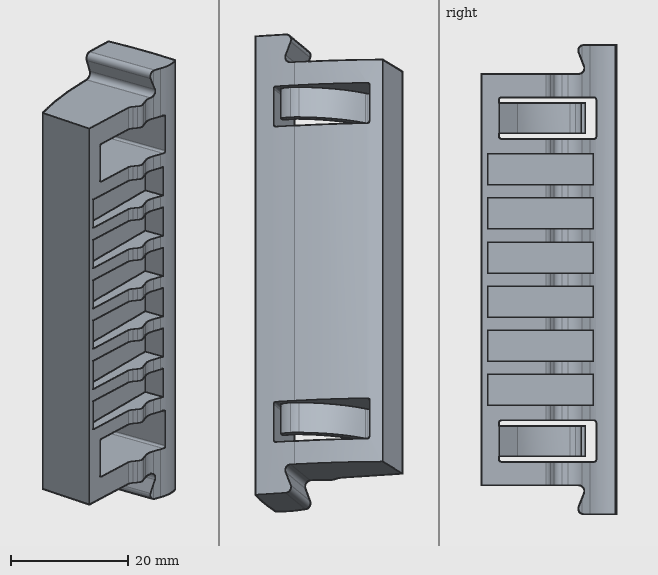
import cadquery as cq
import math

LENGTH = 80.0
BODY_LENGTH = 70.2
BACK_CROWN = 0.2
FRONT_Y = -23.1

WIDEST_Y = -7.1
BACK_LEFT_X = 0.2
FRONT_LEFT = (1.8, -22.2)

BACK_RIGHT_X = 14.1
RIM_MIDDLE = (14.4, -2.7)
RIM_BOTTOM = (13.9, -4.6)
VALLEY_TOP = (13.4, -6.0)
VALLEY_MIDDLE = (13.2, -7.2)
VALLEY_BOTTOM = (13.4, -8.4)
BUMP_TOP = (13.8, -9.4)
BUMP_MIDDLE = (13.8, -10.2)
BUMP_BOTTOM = (13.4, -10.8)
FLANK_BEND_TOP = (13.0, -11.4)
FLANK_BEND_MIDDLE = (12.7, -11.7)
FLANK_BEND_BOTTOM = (12.6, -12.2)
FRONT_RIGHT_X = 12.1

HOOK_TIP_Y = -7.0
HOOK_ROOT_Y = -5.1
HOOK_RADIUS = 1.0

WINDOW_HEIGHT = 7.0
WINDOW_CENTRE_Z = 27.5
WINDOW_BACK_Y = -3.5
WINDOW_FRONT_Y = -20.1
WINDOW_RADIUS = 0.4

CLIP_WIDTH = 5.2
CLIP_THICKNESS = 1.6
CLIP_LEFT_X = -2.6
CLIP_TIP_Y = -5.4
CLIP_TIP_RADIUS = 4.0
CLIP_BEND_RADIUS = 4.8
CLIP_BEND_ANGLE = 17.0
CLIP_ARM_RADIUS = 17.6
CLIP_ARM_ANGLE = 58.0
CLIP_ROOT_FILLET = 0.8
CLIP_EMBED = 0.8

POCKET_COUNT = 6
POCKET_PITCH = 7.5
POCKET_HEIGHT = 5.3
POCKET_FLOOR_X = 10.4
POCKET_BACK_Y = -4.0
POCKET_FRONT_Y = -22.0

BEYOND = 24.0


def extrude_centred(sketch, height):
    """Extrude a closed outline equally to both sides of its plane."""
    return sketch.extrude(height / 2, both=True)


def wall_radius(inset, run):
    """Radius of an arc that leaves the Y direction and drifts by inset over run."""
    return (run**2 + inset**2) / (2 * inset)


def make_profile():
    """Cross-section of the body, extruded over the full length."""
    left_radius_front = wall_radius(FRONT_LEFT[0], WIDEST_Y - FRONT_LEFT[1])
    left_radius_back = wall_radius(BACK_LEFT_X, -BACK_CROWN - WIDEST_Y)
    outline = (
        cq.Workplane("XY")
        .moveTo(BACK_LEFT_X, -BACK_CROWN)
        .threePointArc(((BACK_LEFT_X + BACK_RIGHT_X) / 2, 0), (BACK_RIGHT_X, -BACK_CROWN))
        .threePointArc(RIM_MIDDLE, RIM_BOTTOM)
        .lineTo(*VALLEY_TOP)
        .threePointArc(VALLEY_MIDDLE, VALLEY_BOTTOM)
        .lineTo(*BUMP_TOP)
        .threePointArc(BUMP_MIDDLE, BUMP_BOTTOM)
        .lineTo(*FLANK_BEND_TOP)
        .threePointArc(FLANK_BEND_MIDDLE, FLANK_BEND_BOTTOM)
        .lineTo(FRONT_RIGHT_X, FRONT_Y)
        .lineTo(*FRONT_LEFT)
        .radiusArc((0, WIDEST_Y), left_radius_front)
        .radiusArc((BACK_LEFT_X, -BACK_CROWN), left_radius_back)
        .close()
    )
    return extrude_centred(outline, LENGTH)


def make_side_block():
    """Block with the YZ outline: front body with a hooked flange at each end."""
    upper_half = [
        (BEYOND, LENGTH / 2),
        (HOOK_TIP_Y, LENGTH / 2),
        (HOOK_ROOT_Y, BODY_LENGTH / 2),
        (FRONT_Y - BEYOND, BODY_LENGTH / 2),
    ]
    lower_half = [(y, -z) for y, z in reversed(upper_half)]
    outline = cq.Workplane("YZ").polyline(upper_half + lower_half).close()
    block = extrude_centred(outline, 2 * BEYOND)
    hook_corners = cq.selectors.BoxSelector(
        (-BEYOND, HOOK_TIP_Y - HOOK_RADIUS, -LENGTH),
        (BEYOND, HOOK_ROOT_Y + HOOK_RADIUS, LENGTH),
    )
    return block.edges("|X").edges(hook_corners).fillet(HOOK_RADIUS)


def make_window():
    """Rounded rectangular opening that passes right through the body in X."""
    depth = WINDOW_BACK_Y - WINDOW_FRONT_Y
    window = cq.Workplane("XY").box(2 * BEYOND, depth, WINDOW_HEIGHT)
    window = window.edges("|X").fillet(WINDOW_RADIUS)
    return window.translate((0, (WINDOW_BACK_Y + WINDOW_FRONT_Y) / 2, 0))


def point_on_circle(centre, radius, degrees):
    """Point at an angle measured from -X, turning towards -Y."""
    angle = math.radians(degrees)
    return (centre[0] - radius * math.cos(angle), centre[1] - radius * math.sin(angle))


def point_on_root_wall(start, degrees):
    """Where a straight line at an angle from -Y towards +X meets the window's front wall."""
    run = (start[1] - WINDOW_FRONT_Y) * math.tan(math.radians(degrees))
    return (start[0] + run, WINDOW_FRONT_Y)


def add_clip_arc(outline, centre, radius, start_angle, end_angle):
    """Continue the outline with an arc that begins at start_angle."""
    middle = point_on_circle(centre, radius, (start_angle + end_angle) / 2)
    return outline.threePointArc(middle, point_on_circle(centre, radius, end_angle))


def make_clip():
    """Curved strip: a bent tip, a tight bend, a wide arc, then a straight filleted root."""
    tip_centre = (CLIP_LEFT_X + CLIP_TIP_RADIUS, WIDEST_Y)
    bend_centre = (CLIP_LEFT_X + CLIP_BEND_RADIUS, WIDEST_Y)
    arm_centre = point_on_circle(bend_centre, CLIP_BEND_RADIUS - CLIP_ARM_RADIUS, CLIP_BEND_ANGLE)
    tip_angle = -math.degrees(math.asin((CLIP_TIP_Y - WIDEST_Y) / CLIP_TIP_RADIUS))
    arcs = [
        (tip_centre, CLIP_TIP_RADIUS, tip_angle, 0),
        (bend_centre, CLIP_BEND_RADIUS, 0, CLIP_BEND_ANGLE),
        (arm_centre, CLIP_ARM_RADIUS, CLIP_BEND_ANGLE, CLIP_ARM_ANGLE),
    ]
    inner_arm_radius = CLIP_ARM_RADIUS - CLIP_THICKNESS
    inner_tip = point_on_circle(tip_centre, CLIP_TIP_RADIUS - CLIP_THICKNESS, tip_angle)
    outer_arm_end = point_on_circle(arm_centre, CLIP_ARM_RADIUS, CLIP_ARM_ANGLE)
    inner_arm_end = point_on_circle(arm_centre, inner_arm_radius, CLIP_ARM_ANGLE)
    outer_root = point_on_root_wall(outer_arm_end, CLIP_ARM_ANGLE)
    inner_root = point_on_root_wall(inner_arm_end, CLIP_ARM_ANGLE)

    root_corner_angle = math.radians(90 - CLIP_ARM_ANGLE)
    fillet_reach = CLIP_ROOT_FILLET / math.tan(root_corner_angle / 2)
    fillet_on_strip = (
        outer_root[0] - fillet_reach * math.cos(root_corner_angle),
        outer_root[1] + fillet_reach * math.sin(root_corner_angle),
    )
    fillet_on_wall = (outer_root[0] - fillet_reach, WINDOW_FRONT_Y)
    embedded_y = WINDOW_FRONT_Y - CLIP_EMBED

    outline = cq.Workplane("XY").moveTo(*point_on_circle(tip_centre, CLIP_TIP_RADIUS, tip_angle))
    for centre, radius, start_angle, end_angle in arcs:
        outline = add_clip_arc(outline, centre, radius, start_angle, end_angle)
    outline = (
        outline
        .lineTo(*fillet_on_strip)
        .tangentArcPoint(fillet_on_wall, relative=False)
        .lineTo(fillet_on_wall[0], embedded_y)
        .lineTo(inner_root[0], embedded_y)
        .lineTo(*inner_root)
        .lineTo(*inner_arm_end)
    )
    for centre, radius, start_angle, end_angle in reversed(arcs):
        outline = add_clip_arc(outline, centre, radius - CLIP_THICKNESS, end_angle, start_angle)
    outline = outline.lineTo(inner_tip[0], CLIP_TIP_Y).close()
    return extrude_centred(outline, CLIP_WIDTH)


def make_pocket():
    """Shallow pocket open on the right side."""
    depth = POCKET_BACK_Y - POCKET_FRONT_Y
    corner = (POCKET_FLOOR_X, POCKET_FRONT_Y, -POCKET_HEIGHT / 2)
    return cq.Workplane("XY").box(BEYOND, depth, POCKET_HEIGHT, centered=False).translate(corner)


result = make_profile().intersect(make_side_block())

for index in range(POCKET_COUNT):
    pocket_z = (index - (POCKET_COUNT - 1) / 2) * POCKET_PITCH
    result = result.cut(make_pocket().translate((0, 0, pocket_z)))

for window_z in (-WINDOW_CENTRE_Z, WINDOW_CENTRE_Z):
    result = result.cut(make_window().translate((0, 0, window_z)))
    result = result.union(make_clip().translate((0, 0, window_z)))